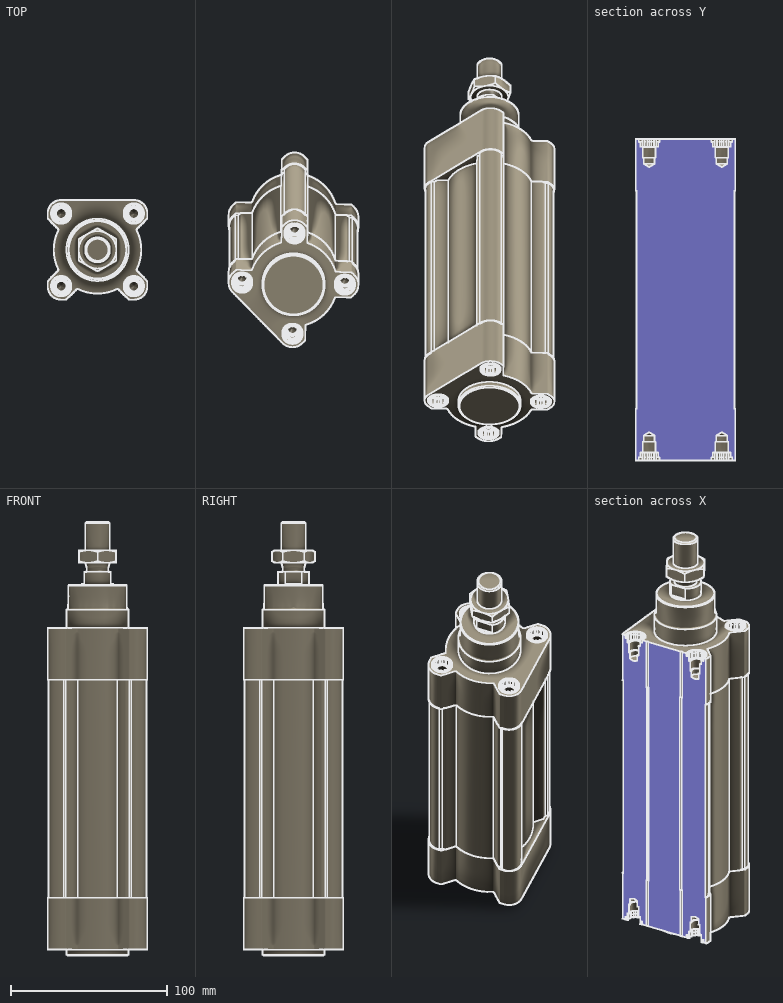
import cadquery as cq
import math


total_height = 277.8
rear_boss_height = 4.0
cap_height = 33.3
housing_body_length = 206.0
front_face_z = rear_boss_height + housing_body_length
rear_cap_top_z = rear_boss_height + cap_height
front_cap_bottom_z = front_face_z - cap_height
collar_top_z = front_face_z + 11.6
nose_top_z = 237.4

cap_half_width = 32.0
cap_body_radius = 28.1
tie_offset = 23.25
cap_corner_radius = cap_half_width - tie_offset
cap_lobe_flat_end = 20.25
cap_edge_radius = 1.0
cap_root_radius = 0.9

tube_body_radius = 28.0
tube_corner_radius = 8.2
tube_arc_end = 21.7
tube_ledge_start = 20.4
tube_ledge_end = 17.9
tube_ledge_offset = 30.0
tube_edge_radius = 1.0

boss_diameter = 40.0
rear_boss_chamfer = 0.8
nose_flare_diameter = 38.2
nose_flare_height = 0.7
nose_base_diameter = 37.7
nose_base_height = 2.5
nose_waist_diameter = 37.5
nose_tip_diameter = 37.7
nose_chamfer = 0.5

screw_recess_diameter = 13.2
screw_head_diameter = 12.0
screw_gap_depth = 2.0
socket_point_diameter = 11.45
socket_depth = 5.0
socket_bore_diameter = 8.8
thread_major_diameter = 8.0
thread_minor_diameter = 6.65
thread_depth = 12.0
drill_depth = 16.0
drill_tip_angle = 118.0

rod_diameter = 20.0
rod_thread_diameter = 16.0
rod_thread_length = 32.0
rod_thread_chamfer = 1.0
rod_neck_diameter = 14.38
rod_groove_diameter = 13.9
rod_groove_length = 3.2
rod_groove_taper = 0.75
rod_neck_length = 6.2
rod_flat_width = 17.0
rod_flat_length = 7.5
rod_shoulder_z = total_height - rod_thread_length
rod_bottom_z = front_cap_bottom_z

nut_width = 24.0
nut_height = 8.0
nut_top_z = 259.6
nut_bottom_z = nut_top_z - nut_height
nut_chamfer_angle = 30.0


def lobed_prism(lobe_outline, radius, bottom_z, top_z):
    """Round body plus four corner lobes, each extruded from bottom_z to top_z."""
    height = top_z - bottom_z
    body = cq.Workplane("XY").workplane(offset=bottom_z).circle(radius).extrude(height)
    lobe = lobe_outline(bottom_z).extrude(height)
    for index in range(4):
        body = body.union(lobe.rotate((0, 0, 0), (0, 0, 1), 90 * index))
    return body


def lobe_root(body_radius, flank_offset):
    """Point where the lobe flank y = x + flank_offset leaves the round body."""
    x = (math.sqrt(2 * body_radius**2 - flank_offset**2) - flank_offset) / 2
    return x, x + flank_offset


def round_upright_edges(body, point, radius, bottom_z):
    """Fillet the upright edges at the given point and at its mirror images."""
    middle_z = (bottom_z + body.val().BoundingBox().zmax) / 2
    edges = []
    u, v = point
    for x, y in ((u, v), (v, u)):
        for x_sign in (-1, 1):
            for y_sign in (-1, 1):
                target = cq.NearestToPointSelector((x_sign * x, y_sign * y, middle_z))
                edges.extend(body.edges("|Z").edges(target).vals())
    return body.newObject(edges).fillet(radius)


def lobe_arc_points(corner_radius, arc_end):
    """Start, middle and end of the round lobe tip, symmetric about the diagonal."""
    reach = tie_offset + math.sqrt(corner_radius**2 - (tie_offset - arc_end) ** 2)
    middle = tie_offset + corner_radius / math.sqrt(2)
    return (reach, arc_end), (middle, middle), (arc_end, reach)


def cap_lobe(bottom_z):
    """Outline of one cap lobe from the axis to its corner."""
    inner = cap_half_width - cap_lobe_flat_end
    start, middle, end = lobe_arc_points(cap_corner_radius, tie_offset)
    return (
        cq.Workplane("XY")
        .workplane(offset=bottom_z)
        .moveTo(0, 0)
        .lineTo(inner, 0)
        .lineTo(cap_half_width, cap_lobe_flat_end)
        .lineTo(*start)
        .threePointArc(middle, end)
        .lineTo(cap_lobe_flat_end, cap_half_width)
        .lineTo(0, inner)
        .close()
    )


def tube_lobe(bottom_z):
    """Outline of one tube lobe, with a ledge stepped down beside its round tip."""
    inner = tube_ledge_offset - tube_ledge_end
    start, middle, end = lobe_arc_points(tube_corner_radius, tube_arc_end)
    return (
        cq.Workplane("XY")
        .workplane(offset=bottom_z)
        .moveTo(0, 0)
        .lineTo(inner, 0)
        .lineTo(tube_ledge_offset, tube_ledge_end)
        .lineTo(tube_ledge_offset, tube_ledge_start)
        .lineTo(*start)
        .threePointArc(middle, end)
        .lineTo(tube_ledge_start, tube_ledge_offset)
        .lineTo(tube_ledge_end, tube_ledge_offset)
        .lineTo(0, inner)
        .close()
    )


def end_cap(bottom_z, top_z):
    """Lobed cap whose +Y side is filled out to a flat port face."""
    cap = lobed_prism(cap_lobe, cap_body_radius, bottom_z, top_z)
    outer_edge = (cap_lobe_flat_end, cap_half_width)
    root_edge = lobe_root(cap_body_radius, cap_half_width - cap_lobe_flat_end)
    cap = round_upright_edges(cap, outer_edge, cap_edge_radius, bottom_z)
    cap = round_upright_edges(cap, root_edge, cap_root_radius, bottom_z)
    port_face = (
        cq.Workplane("XY")
        .workplane(offset=bottom_z)
        .polyline([(0, 0), (tie_offset, tie_offset), (tie_offset, cap_half_width)])
        .lineTo(-tie_offset, cap_half_width)
        .lineTo(-tie_offset, tie_offset)
        .close()
        .extrude(top_z - bottom_z)
    )
    return cap.union(port_face)


def make_tube():
    tube = lobed_prism(tube_lobe, tube_body_radius, rear_cap_top_z, front_cap_bottom_z)
    ledge_edge = (tube_ledge_end, tube_ledge_offset)
    return round_upright_edges(tube, ledge_edge, tube_edge_radius, rear_cap_top_z)


def screw_cutter():
    """Material missing around and inside one sunk screw head, opening at Z = 0."""
    head_radius = screw_head_diameter / 2
    gap = (
        cq.Workplane("XZ")
        .moveTo(head_radius, 0)
        .lineTo(screw_recess_diameter / 2, 0)
        .lineTo(screw_recess_diameter / 2, -screw_gap_depth)
        .lineTo(head_radius, -screw_gap_depth)
        .close()
        .revolve(360, (0, 0, 0), (0, 1, 0))
    )
    major_radius = thread_major_diameter / 2
    minor_radius = thread_minor_diameter / 2
    socket_radius = socket_bore_diameter / 2
    drill_tip = minor_radius / math.tan(math.radians(drill_tip_angle / 2))
    bore = (
        cq.Workplane("XZ")
        .moveTo(0, 0)
        .lineTo(socket_radius, 0)
        .lineTo(socket_radius, -socket_depth)
        .lineTo(major_radius, major_radius - socket_radius - socket_depth)
        .lineTo(major_radius, -thread_depth)
        .lineTo(minor_radius, -thread_depth)
        .lineTo(minor_radius, -drill_depth)
        .lineTo(0, -drill_depth - drill_tip)
        .close()
        .revolve(360, (0, 0, 0), (0, 1, 0))
    )
    cutter = gap.union(bore)
    square = cq.Workplane("XY").polygon(4, socket_point_diameter).extrude(-socket_depth)
    for index in range(3):
        cutter = cutter.union(square.rotate((0, 0, 0), (0, 0, 1), 30 * index))
    return cutter


def front_nose():
    """Collar and waisted nose around the rod; the nose flares out to meet the collar rim."""
    boss_radius = boss_diameter / 2
    tip_radius = nose_tip_diameter / 2
    tip_z = nose_top_z - nose_chamfer
    waisted_side = [
        (nose_flare_diameter / 2, collar_top_z + nose_flare_height),
        (nose_base_diameter / 2, collar_top_z + nose_base_height),
        (nose_waist_diameter / 2, (collar_top_z + tip_z) / 2),
        (tip_radius, tip_z),
    ]
    return (
        cq.Workplane("XZ")
        .moveTo(0, front_face_z)
        .lineTo(boss_radius, front_face_z)
        .lineTo(boss_radius, collar_top_z)
        .spline(waisted_side, includeCurrent=True)
        .lineTo(tip_radius - nose_chamfer, nose_top_z)
        .lineTo(0, nose_top_z)
        .close()
        .revolve(360, (0, 0, 0), (0, 1, 0))
    )


def make_housing():
    rear_boss = (
        cq.Workplane("XY")
        .circle(boss_diameter / 2)
        .extrude(rear_boss_height)
        .faces("<Z")
        .chamfer(rear_boss_chamfer)
    )
    housing = (
        end_cap(rear_boss_height, rear_cap_top_z)
        .union(make_tube())
        .union(end_cap(front_cap_bottom_z, front_face_z))
        .union(rear_boss)
        .union(front_nose())
    )
    cutter = screw_cutter()
    rear_cutter = cutter.rotate((0, 0, 0), (1, 0, 0), 180)
    for x in (-tie_offset, tie_offset):
        for y in (-tie_offset, tie_offset):
            housing = housing.cut(cutter.translate((x, y, front_face_z)))
            housing = housing.cut(rear_cutter.translate((x, y, rear_boss_height)))
    rod_bore = (
        cq.Workplane("XY")
        .workplane(offset=rod_bottom_z)
        .circle(rod_diameter / 2)
        .extrude(nose_top_z - rod_bottom_z)
    )
    return housing.cut(rod_bore)


def make_rod():
    rod_radius = rod_diameter / 2
    thread_radius = rod_thread_diameter / 2
    neck_radius = rod_neck_diameter / 2
    groove_radius = rod_groove_diameter / 2
    groove_top_z = rod_shoulder_z + rod_groove_length
    neck_top_z = rod_shoulder_z + rod_neck_length
    rod = (
        cq.Workplane("XZ")
        .moveTo(0, rod_bottom_z)
        .lineTo(rod_radius, rod_bottom_z)
        .lineTo(rod_radius, rod_shoulder_z)
        .lineTo(neck_radius, rod_shoulder_z)
        .lineTo(groove_radius, rod_shoulder_z + rod_groove_taper)
        .lineTo(groove_radius, groove_top_z - rod_groove_taper)
        .lineTo(neck_radius, groove_top_z)
        .lineTo(thread_radius, neck_top_z)
        .lineTo(thread_radius, total_height - rod_thread_chamfer)
        .lineTo(thread_radius - rod_thread_chamfer, total_height)
        .lineTo(0, total_height)
        .close()
        .revolve(360, (0, 0, 0), (0, 1, 0))
    )
    for side in (-1, 1):
        flat = cq.Workplane("XY").box(rod_diameter, rod_diameter, rod_flat_length).translate(
            (side * (rod_flat_width + rod_diameter) / 2, 0, rod_shoulder_z - rod_flat_length / 2)
        )
        rod = rod.cut(flat)
    return rod


def make_nut():
    corner_diameter = nut_width / math.cos(math.pi / 6)
    chamfer_radial = (corner_diameter - nut_width) / 2
    chamfer_axial = chamfer_radial * math.tan(math.radians(nut_chamfer_angle))
    hexagon = (
        cq.Workplane("XY")
        .workplane(offset=nut_bottom_z)
        .polygon(6, corner_diameter)
        .extrude(nut_height)
        .rotate((0, 0, 0), (0, 0, 1), 90)
    )
    chamfer_envelope = (
        cq.Workplane("XZ")
        .moveTo(0, nut_bottom_z)
        .lineTo(nut_width / 2, nut_bottom_z)
        .lineTo(corner_diameter / 2, nut_bottom_z + chamfer_axial)
        .lineTo(corner_diameter / 2, nut_top_z - chamfer_axial)
        .lineTo(nut_width / 2, nut_top_z)
        .lineTo(0, nut_top_z)
        .close()
        .revolve(360, (0, 0, 0), (0, 1, 0))
    )
    bore = (
        cq.Workplane("XY")
        .workplane(offset=nut_bottom_z)
        .circle(rod_thread_diameter / 2)
        .extrude(nut_height)
    )
    return hexagon.intersect(chamfer_envelope).cut(bore)


housing = make_housing()
rod = make_rod()
nut = make_nut()

result = cq.Compound.makeCompound([housing.val(), rod.val(), nut.val()])